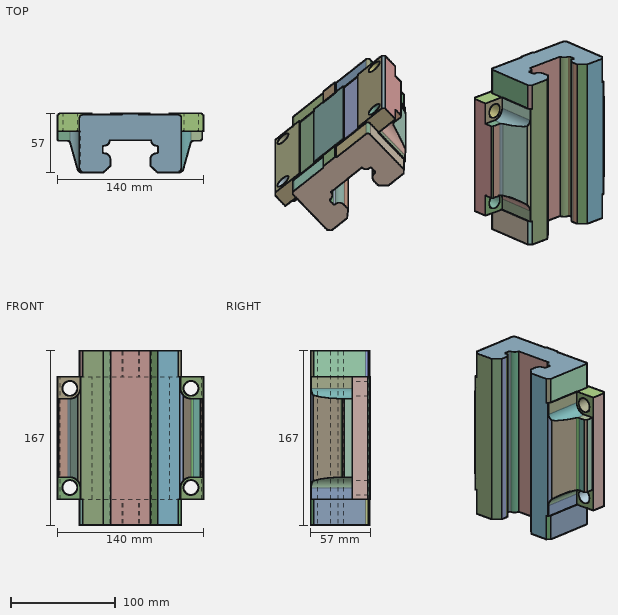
import cadquery as cq
import math

TOTAL_LENGTH = 167.0
BLOCK_LENGTH = 117.5
WIDTH = 140.0
HEIGHT = 57.0
HALF_WIDTH = WIDTH / 2

FLANGE_BOTTOM = 30.4
FLANGE_TOP_CHAMFER = 2.2
PLAIN_EDGE_CHAMFER = 1.25
STEPPED_EDGE_CHAMFER = 1.8
EDGE_STEP = 1.2

FLANK_TOP_X = 58.3
FLANK_LOW_X = 50.5
FLANK_LOW_Y = 2.3
FOOT_X = 47.5
FLANK_FILLET = 2.3

HOLE_DIAMETER = 14.0
HOLE_X = 58.0
HOLE_Z = 47.5
SPOT_FACE_Y = 39.7
SPOT_FACE_RADIUS = 9.9

TOP_GROOVE_INNER_X = 18.7
TOP_GROOVE_OUTER_X = 37.0
TOP_GROOVE_DEPTH = 1.2

CAP_HALF_WIDTH = 48.8
CAP_TOP = 55.3
CAP_FOOT_CHAMFER = 3.0
CAP_TOP_FILLET = 2.8
RIDGE_BASE_HALF_WIDTH = 8.5
RIDGE_HEIGHT = 1.2

CHANNEL_TOP = 31.0
CHANNEL_TOP_HALF_WIDTH = 19.7
LIP_HALF_WIDTH = 19.0
LIP_CHAMFER_WIDTH = 7.0
LIP_CHAMFER_HEIGHT = 6.5
LIP_RADIUS = 6.0
BALL_GROOVE_X = 26.4
BALL_GROOVE_BOTTOM = 18.7
BALL_GROOVE_TOP = 25.7
SHOULDER_RADIUS = CHANNEL_TOP - BALL_GROOVE_TOP
BALL_GROOVE_FILLET = 1.2

ARC_MIDDLE = math.sqrt(0.5)
SIDES = (-1, 1)


def extrude_centered(sketch, length):
    """Extrude an XY outline symmetrically about Z = 0."""
    return sketch.extrude(length / 2, both=True)


def box_between(x0, x1, y0, y1, z0, z1):
    """Axis-aligned box given by its limits."""
    box = cq.Workplane("XY").box(abs(x1 - x0), abs(y1 - y0), abs(z1 - z0))
    return box.translate(((x0 + x1) / 2, (y0 + y1) / 2, (z0 + z1) / 2))


def block_half(side):
    """Half of the flanged middle block; the +X flange edge is stepped in below the spot-face level."""
    if side > 0:
        low_edge_x = HALF_WIDTH - EDGE_STEP
        chamfer = STEPPED_EDGE_CHAMFER
    else:
        low_edge_x = HALF_WIDTH
        chamfer = PLAIN_EDGE_CHAMFER
    points = [
        (0, 0),
        (FOOT_X, 0),
        (FLANK_LOW_X, FLANK_LOW_Y),
        (FLANK_TOP_X, FLANGE_BOTTOM),
        (low_edge_x - chamfer, FLANGE_BOTTOM),
        (low_edge_x, FLANGE_BOTTOM + chamfer),
        (low_edge_x, SPOT_FACE_Y),
        (HALF_WIDTH, SPOT_FACE_Y),
        (HALF_WIDTH, HEIGHT - FLANGE_TOP_CHAMFER),
        (HALF_WIDTH - FLANGE_TOP_CHAMFER, HEIGHT),
        (0, HEIGHT),
    ]
    if side < 0:
        points.remove((low_edge_x, SPOT_FACE_Y))
        points.remove((HALF_WIDTH, SPOT_FACE_Y))
    outline = cq.Workplane("XY").polyline([(side * x, y) for x, y in points]).close()
    half = extrude_centered(outline, BLOCK_LENGTH)
    flank_corner = cq.selectors.NearestToPointSelector((side * FLANK_TOP_X, FLANGE_BOTTOM, 0))
    return half.edges(flank_corner).fillet(FLANK_FILLET)


def bolt_relief(x_side, z_side):
    """Bolt hole, and the rounded clearance below its spot face that is open to the side and the end."""
    x, z = x_side * HOLE_X, z_side * HOLE_Z
    outer_x = x_side * (HALF_WIDTH + 1.7)
    outer_z = z_side * (BLOCK_LENGTH / 2 + 1.7)
    inner_x = x - x_side * SPOT_FACE_RADIUS
    inner_z = z - z_side * SPOT_FACE_RADIUS
    axis = cq.Workplane("XZ", origin=(x, 0, z))
    hole = axis.circle(HOLE_DIAMETER / 2).extrude(-HEIGHT)
    rounded_corner = axis.circle(SPOT_FACE_RADIUS).extrude(-SPOT_FACE_Y)
    end_part = box_between(inner_x, outer_x, 0, SPOT_FACE_Y, z, outer_z)
    side_part = box_between(x, outer_x, 0, SPOT_FACE_Y, inner_z, z)
    return end_part.union(side_part).union(rounded_corner).union(hole)


def middle_block():
    block = block_half(-1).union(block_half(1))
    for x_side in SIDES:
        for z_side in SIDES:
            block = block.cut(bolt_relief(x_side, z_side))
        block = block.cut(box_between(
            x_side * TOP_GROOVE_INNER_X, x_side * TOP_GROOVE_OUTER_X,
            HEIGHT - TOP_GROOVE_DEPTH, HEIGHT,
            -BLOCK_LENGTH / 2, BLOCK_LENGTH / 2,
        ))
    return block


def end_cap(z_side):
    """End cap with rounded top corners, chamfered feet and a low central ridge."""
    length = (TOTAL_LENGTH - BLOCK_LENGTH) / 2
    middle_z = z_side * (BLOCK_LENGTH + length) / 2
    body = box_between(-CAP_HALF_WIDTH, CAP_HALF_WIDTH, 0, CAP_TOP, -length / 2, length / 2)
    body = body.edges("|Z and <Y").chamfer(CAP_FOOT_CHAMFER)
    body = body.edges("|Z and >Y").edges("<X or >X").fillet(CAP_TOP_FILLET)
    ridge_top_half_width = RIDGE_BASE_HALF_WIDTH - RIDGE_HEIGHT
    ridge_outline = cq.Workplane("XY").polyline([
        (-RIDGE_BASE_HALF_WIDTH, CAP_TOP),
        (RIDGE_BASE_HALF_WIDTH, CAP_TOP),
        (ridge_top_half_width, CAP_TOP + RIDGE_HEIGHT),
        (-ridge_top_half_width, CAP_TOP + RIDGE_HEIGHT),
    ]).close()
    cap = body.union(extrude_centered(ridge_outline, length))
    return cap.translate((0, 0, middle_z))


def channel_half(side):
    """Half of the rail channel, with the ball groove undercut behind the lip."""
    lip_center_x = LIP_HALF_WIDTH + LIP_RADIUS
    lip_center_y = BALL_GROOVE_BOTTOM - LIP_RADIUS
    shoulder_center_x = CHANNEL_TOP_HALF_WIDTH + SHOULDER_RADIUS

    def at(x, y):
        return (side * x, y)

    outline = (
        cq.Workplane("XY")
        .moveTo(0, 0)
        .lineTo(*at(LIP_HALF_WIDTH + LIP_CHAMFER_WIDTH, 0))
        .lineTo(*at(LIP_HALF_WIDTH, LIP_CHAMFER_HEIGHT))
        .lineTo(*at(LIP_HALF_WIDTH, lip_center_y))
        .threePointArc(
            at(lip_center_x - LIP_RADIUS * ARC_MIDDLE, lip_center_y + LIP_RADIUS * ARC_MIDDLE),
            at(lip_center_x, BALL_GROOVE_BOTTOM),
        )
        .lineTo(*at(BALL_GROOVE_X, BALL_GROOVE_BOTTOM))
        .lineTo(*at(BALL_GROOVE_X, BALL_GROOVE_TOP))
        .lineTo(*at(shoulder_center_x, BALL_GROOVE_TOP))
        .threePointArc(
            at(shoulder_center_x - SHOULDER_RADIUS * ARC_MIDDLE,
               CHANNEL_TOP - SHOULDER_RADIUS * ARC_MIDDLE),
            at(CHANNEL_TOP_HALF_WIDTH, CHANNEL_TOP),
        )
        .lineTo(0, CHANNEL_TOP)
        .close()
    )
    half = extrude_centered(outline, TOTAL_LENGTH)
    for y in (BALL_GROOVE_BOTTOM, BALL_GROOVE_TOP):
        groove_corner = cq.selectors.NearestToPointSelector((side * BALL_GROOVE_X, y, 0))
        half = half.edges(groove_corner).fillet(BALL_GROOVE_FILLET)
    return half


carriage = middle_block()
for z_side in SIDES:
    carriage = carriage.union(end_cap(z_side))
for side in SIDES:
    carriage = carriage.cut(channel_half(side))
result = carriage